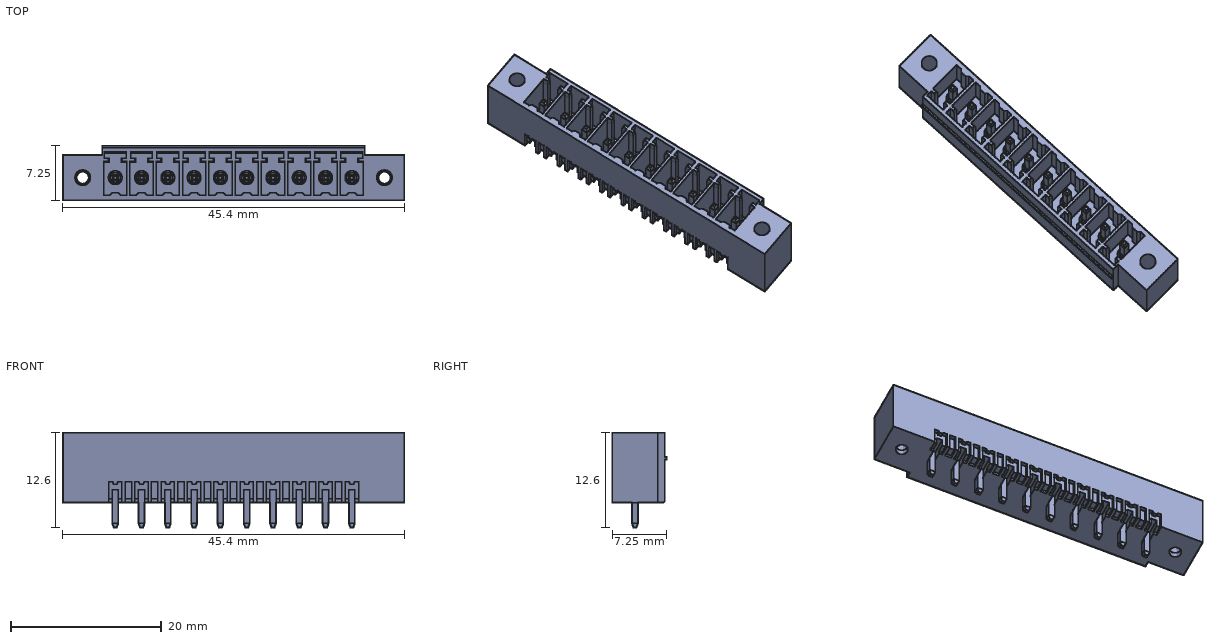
import cadquery as cq

LENGTH = 45.4
BLOCK_DEPTH = 6.05
HEIGHT = 9.3
ROW_DEPTH = 7.0
BACK_BOTTOM_CHAMFER = 0.2

CONTACTS = 10
PITCH = 3.5
ROW_LENGTH = CONTACTS * PITCH
CONTACT_Y = BLOCK_DEPTH / 2

RIB_OUT = 0.25
RIB_HEIGHT = 0.35
RIB_Z = 5.9

FLOOR_Z = 3.2
CELL_WIDTH = 3.1
CELL_FRONT_Y = 0.7
CELL_BACK_Y = 6.25
BACK_DRAFT = 0.2
CELL_BACK_WIDTH = 2.9
HOOK_FRONT_Y = 5.1
HOOK_BACK_Y = 5.65
HOOK_GAP = 1.6
LEAD_IN = 0.15
LEAD_IN_HEIGHT = 0.65
KEY_BASE = 1.45
KEY_TIP = 0.8
KEY_OUT = 0.3

SCREW_X = 20.05
SCREW_DIA = 2.05
SCREW_EXIT_DIA = 1.6
SCREW_EXIT_DEPTH = 0.9

RECESS_HEIGHT = 2.75
RECESS_DEPTH = 0.45
WIDE_RECESS = 1.75
NARROW_RECESS = 0.85
TAB_BASE = 0.73
TAB_TIP = 0.45
TAB_DROP = 0.3
FOOT_HEIGHT = 0.5
FOOT_DEPTH = 1.5
PIN_SLOT_HEIGHT = 1.7

PIN_WIDTH = 0.8
PIN_TOP_Z = 8.05
PIN_BOTTOM_Z = -3.3
TIP_LENGTH = 0.55
TIP_WIDTH = 0.4
COLLAR_DIA = 1.8
COLLAR_TOP_DIA = 1.35
COLLAR_HEIGHT = 0.45

contact_xs = [(i - (CONTACTS - 1) / 2) * PITCH for i in range(CONTACTS)]
gap_xs = [x + PITCH / 2 for x in contact_xs[:-1]]


def box(width, y0, y1, z0, z1):
    block = cq.Workplane("XY").box(width, y1 - y0, z1 - z0, centered=(True, False, False))
    return block.translate((0, y0, z0))


def make_body():
    blocks = box(LENGTH, 0, BLOCK_DEPTH, 0, HEIGHT)
    row = box(ROW_LENGTH, 0, ROW_DEPTH, 0, HEIGHT).edges(">Y and <Z").chamfer(BACK_BOTTOM_CHAMFER)
    rib = box(ROW_LENGTH, ROW_DEPTH, ROW_DEPTH + RIB_OUT, RIB_Z - RIB_HEIGHT / 2, RIB_Z + RIB_HEIGHT / 2)
    return blocks.union(row).union(rib)


def cell_outline(clearance):
    """Cell plan with the fronts and tips of the hooks trimmed by the clearance."""
    hook_front_y = HOOK_FRONT_Y + clearance
    hook_x = HOOK_GAP / 2 + clearance
    right_half = [
        (KEY_TIP / 2, CELL_FRONT_Y + KEY_OUT),
        (KEY_BASE / 2, CELL_FRONT_Y),
        (CELL_WIDTH / 2, CELL_FRONT_Y),
        (CELL_WIDTH / 2, hook_front_y),
        (hook_x, hook_front_y),
        (hook_x, HOOK_BACK_Y),
        (CELL_BACK_WIDTH / 2, HOOK_BACK_Y),
        (CELL_BACK_WIDTH / 2, CELL_BACK_Y),
    ]
    left_half = [(-x, y) for x, y in reversed(right_half)]
    return right_half + left_half


def make_cell():
    straight_height = HEIGHT - LEAD_IN_HEIGHT - FLOOR_Z
    cell = (
        cq.Workplane("XY", origin=(0, 0, FLOOR_Z))
        .polyline(cell_outline(0))
        .close()
        .extrude(straight_height)
        .faces(">Z")
        .workplane(origin=(0, 0, 0))
        .polyline(cell_outline(0))
        .close()
        .workplane(offset=LEAD_IN_HEIGHT)
        .polyline(cell_outline(LEAD_IN))
        .close()
        .loft(ruled=True)
    )
    back_slope = [(CELL_BACK_Y, FLOOR_Z), (CELL_BACK_Y, HEIGHT), (CELL_BACK_Y + BACK_DRAFT, HEIGHT)]
    draft = cq.Workplane("YZ").polyline(back_slope).close().extrude(CELL_BACK_WIDTH / 2, both=True)
    return cell.union(draft)


def make_wide_recess():
    top = RECESS_HEIGHT
    tab_bottom = top - TAB_DROP
    outline = [
        (-WIDE_RECESS / 2, 0),
        (-WIDE_RECESS / 2, top),
        (-TAB_BASE / 2, top),
        (-TAB_TIP / 2, tab_bottom),
        (TAB_TIP / 2, tab_bottom),
        (TAB_BASE / 2, top),
        (WIDE_RECESS / 2, top),
        (WIDE_RECESS / 2, 0),
    ]
    recess = cq.Workplane("XZ").polyline(outline).close().extrude(-RECESS_DEPTH)
    slot = box(PIN_WIDTH, 0, CONTACT_Y, 0, PIN_SLOT_HEIGHT)
    return recess.union(slot).union(make_foot_step(WIDE_RECESS))


def make_foot_step(width):
    return box(width, 0, FOOT_DEPTH, 0, FOOT_HEIGHT)


def make_narrow_recess():
    recess = box(NARROW_RECESS, 0, RECESS_DEPTH, 0, RECESS_HEIGHT)
    return recess.union(make_foot_step(NARROW_RECESS))


def make_pin_tip(z, length):
    return (
        cq.Workplane("XY", origin=(0, 0, z))
        .rect(PIN_WIDTH, PIN_WIDTH)
        .workplane(offset=length)
        .rect(TIP_WIDTH, TIP_WIDTH)
        .loft(ruled=True)
    )


def make_pin():
    low = PIN_BOTTOM_Z + TIP_LENGTH
    high = PIN_TOP_Z - TIP_LENGTH
    shaft = cq.Workplane("XY", origin=(0, 0, low)).rect(PIN_WIDTH, PIN_WIDTH).extrude(high - low)
    upper_tip = make_pin_tip(high, TIP_LENGTH)
    lower_tip = make_pin_tip(low, -TIP_LENGTH)
    collar = (
        cq.Workplane("XY", origin=(0, 0, FLOOR_Z))
        .circle(COLLAR_DIA / 2)
        .workplane(offset=COLLAR_HEIGHT)
        .circle(COLLAR_TOP_DIA / 2)
        .loft()
    )
    pin = shaft.union(upper_tip).union(lower_tip).union(collar)
    return pin.translate((0, CONTACT_Y, 0))


def make_screw_hole():
    exit_hole = cq.Workplane("XY").circle(SCREW_EXIT_DIA / 2).extrude(HEIGHT)
    main = cq.Workplane("XY", origin=(0, 0, SCREW_EXIT_DEPTH)).circle(SCREW_DIA / 2).extrude(HEIGHT)
    return exit_hole.union(main).translate((0, CONTACT_Y, 0))


def at_each(shape, xs):
    return [shape.translate((x, 0, 0)) for x in xs]


result = make_body()
cuts = (
    at_each(make_cell(), contact_xs)
    + at_each(make_wide_recess(), contact_xs)
    + at_each(make_narrow_recess(), gap_xs)
    + at_each(make_screw_hole(), (-SCREW_X, SCREW_X))
)
for cut in cuts:
    result = result.cut(cut)
for pin in at_each(make_pin(), contact_xs):
    result = result.union(pin)